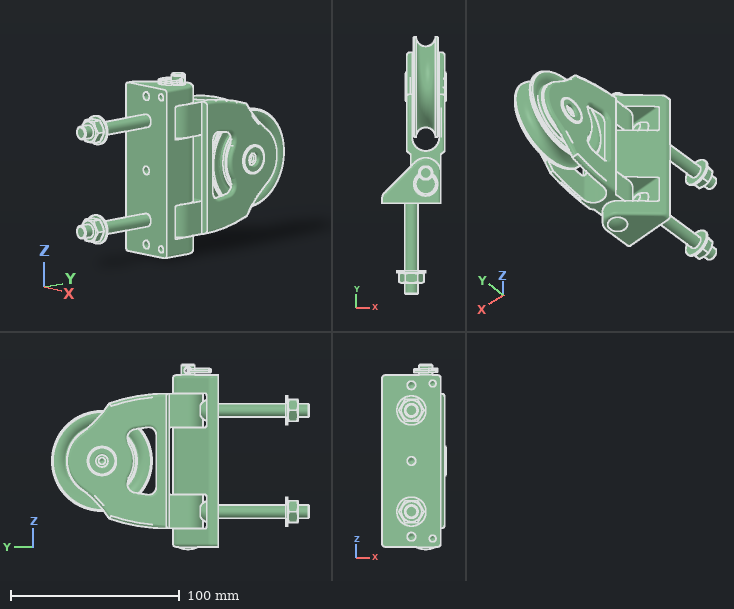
import cadquery as cq
import math

OVERLAP = 0.2

PIN_DIA = 8.2
PIN_Y = 18.0
HINGE_RADIUS = 9.0
LUG_INNER_Z = 20.0
LUG_OUTER_Z = 40.0
LUG_SPAN = LUG_OUTER_Z - LUG_INNER_Z

BASE_WIDTH = 35.0
BASE_HALF_HEIGHT = 51.0
BASE_RIGHT = HINGE_RADIUS
BASE_LEFT = BASE_RIGHT - BASE_WIDTH
BASE_ROUND = 2.0
BASE_CORNER_RADIUS = 4.6
PLATE_THICKNESS = 7.0
NOTCH_CLEARANCE = 0.2
NOTCH_CORNER_RADIUS = 1.2

CENTRE_HOLE_DIA = 5.0
CENTRE_HOLE_PITCH = 44.9
SIDE_HOLE_DIA = 4.0
SIDE_HOLE_X = 4.1
SIDE_HOLE_Z = 46.0
HOLE_DEPTH = 6.1
DRILL_POINT_ANGLE = 118

BOLT_X = (BASE_LEFT + BASE_RIGHT) / 2
BOLT_Z = (LUG_INNER_Z + LUG_OUTER_Z) / 2
BOLT_DIA = 8.0
BOLT_END_Y = -53.9
BOLT_END_CHAMFER = 0.6
HEAD_DIA = 12.8
HEAD_HEIGHT = 3.7
HEAD_TOP_DIA = 6.1
HEAD_BULGE = 0.3
WASHER_DIA = 17.3
WASHER_Y = -40.0
WASHER_THICKNESS = 1.0
NUT_CORNER_DIA = 15.0
NUT_HEIGHT = 6.3
NUT_FACE_DIA = 12.0
NUT_CHAMFER = 0.8

PIN_TOP_Z = 57.3
PIN_BOTTOM_Z = -52.5
PIN_CHAMFER = 0.8
PIN_HEAD_DIA = 11.8
PIN_HOLE_DIA = 4.0
RING_Z = 53.6
RING_Y = 11.5
RING_DIA = 14.2
RING_WIRE_DIA = 1.2
RING_COIL_PITCH = 1.15
RING_TILT = 1.9

FRAME_HALF_WIDTH = 11.3
FRAME_BACK_Y = 29.0
FRAME_CHAMFER_DEPTH = 2.0
FRAME_ROUND = 2.0
LUG_ROOT_FILLET = 0.8
FRAME_SLOT_RADIUS = 8.0
FRAME_SLOT_BOTTOM_Y = 31.2
SHOULDER_Y = 64.8
SHOULDER_Z = 34.2
NOSE_RADIUS = 20.6
NOSE_END_ANGLE = 57
NECK_MID_Y = 71.8
NECK_MID_Z = 25.0

WINDOW_BACK_Y = 37.0
WINDOW_BACK_HALF_HEIGHT = 20.6
WINDOW_BACK_RADIUS = 4.3
WINDOW_FRONT_Y = 55.1
WINDOW_FRONT_HALF_HEIGHT = 18.0
WINDOW_FRONT_RADIUS = 5.2
WINDOW_WAIST_Y = 50.7
WINDOW_HUB_RADIUS = 18.8

SHEAVE_Y = 69.0
SHEAVE_RADIUS = 29.8
SHEAVE_HALF_WIDTH = 7.5
GROOVE_RADIUS = 5.7
RIM_SIDE_RADIUS = 27.8
RIM_SHELL_RADIUS = 7.8
RIM_CHAMFER = 0.8
HUB_RADIUS = 21.0
HUB_FILLET = 0.8
HUB_CHAMFER = 0.9
AXLE_DIA = 17.3
AXLE_HALF_LENGTH = 12.0
AXLE_CHAMFER_LENGTH = 0.3
AXLE_CHAMFER_DEPTH = 0.8
RECESS_DIA = 7.2
RECESS_DEPTH = 2.3
RECESS_LIP = 1.2
AXLE_HOLE_DIA = 4.0
AXLE_HOLE_DEPTH = 2.3


def cylinder(radius, length, start, direction):
    return cq.Workplane(cq.Solid.makeCylinder(radius, length, cq.Vector(*start), cq.Vector(*direction)))


def drilled_hole(diameter, depth, start, direction):
    """Cylinder of the given depth that ends in a conical drill point."""
    radius = diameter / 2
    point_length = radius / math.tan(math.radians(DRILL_POINT_ANGLE / 2))
    axis = cq.Vector(*direction)
    point = cq.Solid.makeCone(radius, 0, point_length, cq.Vector(*start) + axis * depth, axis)
    return cylinder(radius, depth, start, direction).union(cq.Workplane(point))



def bracket_block():
    """Triangular block around the hinge pin, rounded along its outline at both ends."""
    half_root = math.sqrt(0.5)
    tangent_x = -HINGE_RADIUS * half_root
    tangent_y = PIN_Y + HINGE_RADIUS * half_root
    slope_foot_y = tangent_y - (tangent_x - BASE_LEFT)
    block = (
        cq.Workplane("XY")
        .workplane(offset=-BASE_HALF_HEIGHT)
        .moveTo(BASE_LEFT, 0)
        .lineTo(BASE_RIGHT, 0)
        .lineTo(BASE_RIGHT, PIN_Y)
        .threePointArc((0, PIN_Y + HINGE_RADIUS), (tangent_x, tangent_y))
        .lineTo(BASE_LEFT, slope_foot_y)
        .close()
        .extrude(2 * BASE_HALF_HEIGHT)
    )
    foot = cq.NearestToPointSelector((BASE_LEFT, slope_foot_y, 0))
    block = block.edges("|Z").edges(foot).fillet(BASE_CORNER_RADIUS)
    outline = block.faces("|Z").edges().edges(cq.selectors.BoxSelector(
        (2 * BASE_LEFT, OVERLAP, -2 * BASE_HALF_HEIGHT),
        (2 * BASE_WIDTH, PIN_Y + 2 * HINGE_RADIUS, 2 * BASE_HALF_HEIGHT),
    ))
    return outline.fillet(BASE_ROUND)


def lug_notch(centre_z):
    """Cut across the block that receives one hinge lug of the frame."""
    height = LUG_SPAN + 2 * NOTCH_CLEARANCE
    depth = PIN_Y + 2 * HINGE_RADIUS - PLATE_THICKNESS
    return (
        cq.Workplane("XY")
        .box(3 * BASE_WIDTH, depth, height, centered=(True, False, True))
        .edges("<Y and |X")
        .fillet(NOTCH_CORNER_RADIUS)
        .translate((0, PLATE_THICKNESS, centre_z))
    )


def plate_holes():
    holes = []
    for z in (-CENTRE_HOLE_PITCH, 0, CENTRE_HOLE_PITCH):
        holes.append(drilled_hole(CENTRE_HOLE_DIA, HOLE_DEPTH, (BOLT_X, 0, z), (0, 1, 0)))
    for z in (-SIDE_HOLE_Z, SIDE_HOLE_Z):
        holes.append(drilled_hole(SIDE_HOLE_DIA, HOLE_DEPTH, (SIDE_HOLE_X, 0, z), (0, 1, 0)))
    return holes


def bolt(centre_z):
    """Domed bolt through the plate, with a washer and a nut near its end."""
    head_mid_radius = (HEAD_DIA + HEAD_TOP_DIA) / 4 + HEAD_BULGE
    head_mid_y = PLATE_THICKNESS + HEAD_HEIGHT / 2 + HEAD_BULGE
    shank_radius = BOLT_DIA / 2
    turned = (
        cq.Workplane("XY")
        .moveTo(0, BOLT_END_Y)
        .lineTo(shank_radius - BOLT_END_CHAMFER, BOLT_END_Y)
        .lineTo(shank_radius, BOLT_END_Y + BOLT_END_CHAMFER)
        .lineTo(shank_radius, WASHER_Y - WASHER_THICKNESS)
        .lineTo(WASHER_DIA / 2, WASHER_Y - WASHER_THICKNESS)
        .lineTo(WASHER_DIA / 2, WASHER_Y)
        .lineTo(shank_radius, WASHER_Y)
        .lineTo(shank_radius, PLATE_THICKNESS)
        .lineTo(HEAD_DIA / 2, PLATE_THICKNESS)
        .threePointArc((head_mid_radius, head_mid_y), (HEAD_TOP_DIA / 2, PLATE_THICKNESS + HEAD_HEIGHT))
        .lineTo(0, PLATE_THICKNESS + HEAD_HEIGHT)
        .close()
        .revolve(360, (0, 0), (0, 1))
    )
    return turned.union(nut()).translate((BOLT_X, 0, centre_z))


def nut():
    """Hexagon with its corners turned down to a smaller face circle at both ends."""
    nut_y = WASHER_Y - WASHER_THICKNESS
    hexagon = cq.Workplane("XZ").workplane(offset=-nut_y).polygon(6, NUT_CORNER_DIA).extrude(NUT_HEIGHT)
    turned = (
        cq.Workplane("XZ")
        .workplane(offset=-nut_y)
        .circle(NUT_CORNER_DIA / 2)
        .extrude(NUT_HEIGHT)
        .edges()
        .chamfer(NUT_CHAMFER, (NUT_CORNER_DIA - NUT_FACE_DIA) / 2)
    )
    return hexagon.intersect(turned)


def hinge_pin():
    """Pin with a shallow domed head below the block and a cross hole above it."""
    radius = PIN_DIA / 2
    head_z = -BASE_HALF_HEIGHT
    pin = cylinder(radius, PIN_TOP_Z - head_z, (0, PIN_Y, head_z), (0, 0, 1))
    pin = pin.faces(">Z").edges().chamfer(PIN_CHAMFER)
    dome_height = head_z - PIN_BOTTOM_Z
    head_radius = PIN_HEAD_DIA / 2
    sphere_radius = (head_radius ** 2 + dome_height ** 2) / (2 * dome_height)
    sphere = cq.Workplane("XY").sphere(sphere_radius).translate((0, PIN_Y, PIN_BOTTOM_Z + sphere_radius))
    dome = cylinder(head_radius, dome_height, (0, PIN_Y, PIN_BOTTOM_Z), (0, 0, 1)).intersect(sphere)
    cross_hole = cylinder(PIN_HOLE_DIA / 2, 2 * PIN_DIA, (-PIN_DIA, PIN_Y, RING_Z), (1, 0, 0))
    return pin.cut(cross_hole).union(dome)


def split_ring():
    """Two stacked wire coils, slightly tilted, that pass through the cross hole of the pin."""
    wire_radius = RING_WIRE_DIA / 2
    coils = cq.Workplane("XY")
    for offset in (-RING_COIL_PITCH / 2, RING_COIL_PITCH / 2):
        coil = cq.Solid.makeTorus(RING_DIA / 2 - wire_radius, wire_radius, cq.Vector(0, 0, offset))
        coils = coils.union(cq.Workplane(coil))
    return coils.rotate((0, 0, 0), (0, 1, 0), -RING_TILT).translate((0, RING_Y, RING_Z))


def make_base():
    base = bracket_block()
    for side in (-1, 1):
        base = base.cut(lug_notch(side * BOLT_Z))
    for hole in plate_holes():
        base = base.cut(hole)
    for side in (-1, 1):
        base = base.union(bolt(side * BOLT_Z))
    return base.union(hinge_pin()).union(split_ring())



def cheek_window():
    """Tapered window with rounded corners whose front is drawn in and cut back around the hub."""
    outline = (
        cq.Workplane("YZ")
        .workplane(offset=-2 * FRAME_HALF_WIDTH)
        .moveTo(WINDOW_BACK_Y, -WINDOW_BACK_HALF_HEIGHT)
        .lineTo(WINDOW_FRONT_Y, -WINDOW_FRONT_HALF_HEIGHT)
        .lineTo(WINDOW_WAIST_Y, 0)
        .lineTo(WINDOW_FRONT_Y, WINDOW_FRONT_HALF_HEIGHT)
        .lineTo(WINDOW_BACK_Y, WINDOW_BACK_HALF_HEIGHT)
        .close()
        .extrude(4 * FRAME_HALF_WIDTH)
    )
    outline = outline.edges("|X and <Y").fillet(WINDOW_BACK_RADIUS)
    outline = outline.edges("|X and >Y").fillet(WINDOW_FRONT_RADIUS)
    hub = cylinder(WINDOW_HUB_RADIUS, 4 * FRAME_HALF_WIDTH, (-2 * FRAME_HALF_WIDTH, SHEAVE_Y, 0), (1, 0, 0))
    return outline.cut(hub)


def flank_middle(start_y):
    """Middle of the arc that leaves the flat top at start_y tangentially and ends at the shoulder."""
    run = SHOULDER_Y - start_y
    drop = LUG_OUTER_Z - SHOULDER_Z
    radius = (run ** 2 + drop ** 2) / (2 * drop)
    half_angle = math.asin(run / radius) / 2
    return start_y + radius * math.sin(half_angle), LUG_OUTER_Z - radius * (1 - math.cos(half_angle))


def frame_block():
    """Cheek outline across the full width, with rounded outer edges and chamfered back corners."""
    nose_y = SHEAVE_Y + NOSE_RADIUS * math.cos(math.radians(NOSE_END_ANGLE))
    nose_z = NOSE_RADIUS * math.sin(math.radians(NOSE_END_ANGLE))
    flank_y = FRAME_BACK_Y + FRAME_CHAMFER_DEPTH
    flank_mid_y, flank_mid_z = flank_middle(flank_y)
    block = (
        cq.Workplane("YZ")
        .workplane(offset=-FRAME_HALF_WIDTH)
        .moveTo(FRAME_BACK_Y, -LUG_OUTER_Z)
        .lineTo(flank_y, -LUG_OUTER_Z)
        .threePointArc((flank_mid_y, -flank_mid_z), (SHOULDER_Y, -SHOULDER_Z))
        .threePointArc((NECK_MID_Y, -NECK_MID_Z), (nose_y, -nose_z))
        .threePointArc((SHEAVE_Y + NOSE_RADIUS, 0), (nose_y, nose_z))
        .threePointArc((NECK_MID_Y, NECK_MID_Z), (SHOULDER_Y, SHOULDER_Z))
        .threePointArc((flank_mid_y, flank_mid_z), (flank_y, LUG_OUTER_Z))
        .lineTo(FRAME_BACK_Y, LUG_OUTER_Z)
        .close()
        .extrude(2 * FRAME_HALF_WIDTH)
        .cut(cheek_window())
    )
    block = block.faces("|X").edges("not(<Y)").fillet(FRAME_ROUND)
    front_y = SHEAVE_Y + 2 * NOSE_RADIUS
    plan = (
        cq.Workplane("XY")
        .workplane(offset=-2 * LUG_OUTER_Z)
        .polyline([
            (-HINGE_RADIUS, FRAME_BACK_Y),
            (HINGE_RADIUS, FRAME_BACK_Y),
            (FRAME_HALF_WIDTH, flank_y),
            (FRAME_HALF_WIDTH, front_y),
            (-FRAME_HALF_WIDTH, front_y),
            (-FRAME_HALF_WIDTH, flank_y),
        ])
        .close()
        .extrude(4 * LUG_OUTER_Z)
    )
    return block.intersect(plan)


def sheave_slot():
    """Round-bottomed slot between the two cheeks."""
    height = 2 * LUG_OUTER_Z + 2 * OVERLAP
    centre_y = FRAME_SLOT_BOTTOM_Y + FRAME_SLOT_RADIUS
    channel = cq.Workplane("XY").box(
        2 * FRAME_SLOT_RADIUS, SHEAVE_Y + 2 * NOSE_RADIUS - centre_y, height, centered=(True, False, True)
    ).translate((0, centre_y, 0))
    return channel.union(cylinder(FRAME_SLOT_RADIUS, height, (0, centre_y, -height / 2), (0, 0, 1)))


def hinge_lug(centre_z):
    lug = (
        cq.Workplane("XY")
        .box(2 * HINGE_RADIUS, FRAME_BACK_Y + OVERLAP - PIN_Y, LUG_SPAN, centered=(True, False, True))
        .translate((0, PIN_Y, 0))
    )
    barrel = cylinder(HINGE_RADIUS, LUG_SPAN, (0, PIN_Y, -LUG_SPAN / 2), (0, 0, 1))
    bore = cylinder(PIN_DIA / 2, LUG_SPAN, (0, PIN_Y, -LUG_SPAN / 2), (0, 0, 1))
    return lug.union(barrel).cut(bore).translate((0, 0, centre_z))


def arc_point(centre, radius, angle):
    return centre[0] + radius * math.cos(angle), centre[1] + radius * math.sin(angle)


def mirrored(point):
    return -point[0], point[1]


def sheave():
    """Grooved wheel: each side runs from the rim down a rounded shell and a fillet to the hub."""
    shell_centre = (SHEAVE_HALF_WIDTH - RIM_SHELL_RADIUS, RIM_SIDE_RADIUS)
    fillet_centre_radius = HUB_RADIUS + HUB_FILLET
    touch_angle = -math.asin((RIM_SIDE_RADIUS - fillet_centre_radius) / (RIM_SHELL_RADIUS + HUB_FILLET))
    fillet_centre = arc_point(shell_centre, RIM_SHELL_RADIUS + HUB_FILLET, touch_angle)
    shell_mid = arc_point(shell_centre, RIM_SHELL_RADIUS, touch_angle / 2)
    shell_foot = arc_point(shell_centre, RIM_SHELL_RADIUS, touch_angle)
    fillet_mid = arc_point(fillet_centre, HUB_FILLET, (touch_angle + math.pi + 1.5 * math.pi) / 2)
    hub_root = (fillet_centre[0], HUB_RADIUS)
    hub_shoulder = (FRAME_SLOT_RADIUS - HUB_CHAMFER, HUB_RADIUS)
    hub_face = (FRAME_SLOT_RADIUS, HUB_RADIUS - HUB_CHAMFER)
    rim_side = (SHEAVE_HALF_WIDTH, RIM_SIDE_RADIUS)
    rim_corner = (SHEAVE_HALF_WIDTH, SHEAVE_RADIUS - RIM_CHAMFER)
    rim_land = (SHEAVE_HALF_WIDTH - RIM_CHAMFER, SHEAVE_RADIUS)
    wheel = (
        cq.Workplane("XY")
        .moveTo(-FRAME_SLOT_RADIUS, 0)
        .lineTo(FRAME_SLOT_RADIUS, 0)
        .lineTo(*hub_face)
        .lineTo(*hub_shoulder)
        .lineTo(*hub_root)
        .threePointArc(fillet_mid, shell_foot)
        .threePointArc(shell_mid, rim_side)
        .lineTo(*rim_corner)
        .lineTo(*rim_land)
        .lineTo(GROOVE_RADIUS, SHEAVE_RADIUS)
        .threePointArc((0, SHEAVE_RADIUS - GROOVE_RADIUS), (-GROOVE_RADIUS, SHEAVE_RADIUS))
        .lineTo(*mirrored(rim_land))
        .lineTo(*mirrored(rim_corner))
        .lineTo(*mirrored(rim_side))
        .threePointArc(mirrored(shell_mid), mirrored(shell_foot))
        .threePointArc(mirrored(fillet_mid), mirrored(hub_root))
        .lineTo(*mirrored(hub_shoulder))
        .lineTo(*mirrored(hub_face))
        .close()
        .revolve(360, (0, 0), (1, 0))
    )
    return wheel.translate((0, SHEAVE_Y, 0))


def axle():
    """Plain axle with a rounded recess and a drilled centre hole in each end."""
    body = cylinder(AXLE_DIA / 2, 2 * AXLE_HALF_LENGTH, (-AXLE_HALF_LENGTH, SHEAVE_Y, 0), (1, 0, 0))
    body = body.faces("|X").edges().chamfer(AXLE_CHAMFER_LENGTH, AXLE_CHAMFER_DEPTH)
    for side in (-1, 1):
        inward = (-side, 0, 0)
        face_x = side * AXLE_HALF_LENGTH
        floor_x = face_x - side * RECESS_DEPTH
        body = body.cut(cylinder(RECESS_DIA / 2, RECESS_DEPTH, (face_x, SHEAVE_Y, 0), inward))
        lip = cq.selectors.RadiusNthSelector(0)
        body = body.faces(">X" if side > 0 else "<X").edges(lip).fillet(RECESS_LIP)
        body = body.cut(drilled_hole(AXLE_HOLE_DIA, AXLE_HOLE_DEPTH, (floor_x, SHEAVE_Y, 0), inward))
    return body


def axle_bore():
    return cylinder(AXLE_DIA / 2, 4 * AXLE_HALF_LENGTH, (-2 * AXLE_HALF_LENGTH, SHEAVE_Y, 0), (1, 0, 0))


def make_pulley_block():
    block = frame_block().cut(sheave_slot())
    for side in (-1, 1):
        block = block.union(hinge_lug(side * BOLT_Z))
        lug_root = cq.NearestToPointSelector((0, FRAME_BACK_Y, side * LUG_INNER_Z))
        block = block.edges("|X").edges(lug_root).fillet(LUG_ROOT_FILLET)
    return block.union(sheave()).cut(axle_bore()).union(axle())


base = make_base()
pulley_block = make_pulley_block()
result = cq.Compound.makeCompound([base.val(), pulley_block.val()])